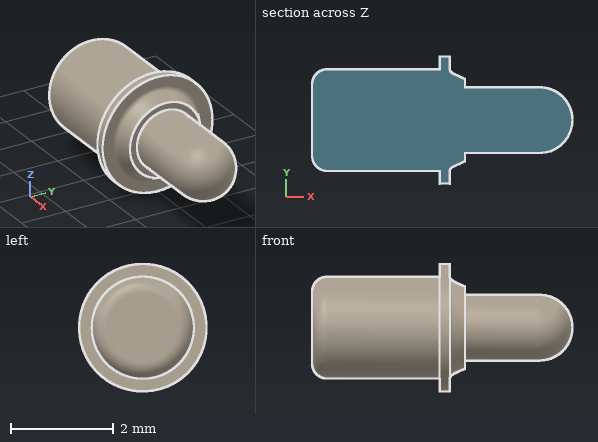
import cadquery as cq
import math

total_length = 5.1
barrel_radius = 1.0
barrel_length = 2.5
barrel_edge_radius = 0.3
flange_radius = 1.25
flange_thickness = 0.2
collar_length = 0.3
collar_tip_radius = 0.805
collar_taper = math.radians(25)
collar_fillet_radius = 0.1
plunger_radius = 0.65

flange_end = barrel_length + flange_thickness
collar_end = flange_end + collar_length
dome_start = total_length - plunger_radius
dome_mid = plunger_radius * math.sqrt(0.5)
edge_inset = barrel_edge_radius * (1 - math.sqrt(0.5))

fillet_center_x = flange_end + collar_fillet_radius
fillet_end_x = fillet_center_x - collar_fillet_radius * math.sin(collar_taper)
fillet_end_radius = collar_tip_radius + (collar_end - fillet_end_x) * math.tan(collar_taper)
fillet_center_radius = fillet_end_radius + collar_fillet_radius * math.cos(collar_taper)
fillet_mid_angle = (math.pi / 2 - collar_taper) / 2
fillet_mid = (
    fillet_center_x - collar_fillet_radius * math.cos(fillet_mid_angle),
    fillet_center_radius - collar_fillet_radius * math.sin(fillet_mid_angle),
)

profile = (
    cq.Workplane("XY")
    .lineTo(0, barrel_radius - barrel_edge_radius)
    .threePointArc(
        (edge_inset, barrel_radius - edge_inset),
        (barrel_edge_radius, barrel_radius),
    )
    .lineTo(barrel_length, barrel_radius)
    .lineTo(barrel_length, flange_radius)
    .lineTo(flange_end, flange_radius)
    .lineTo(flange_end, fillet_center_radius)
    .threePointArc(fillet_mid, (fillet_end_x, fillet_end_radius))
    .lineTo(collar_end, collar_tip_radius)
    .lineTo(collar_end, plunger_radius)
    .lineTo(dome_start, plunger_radius)
    .threePointArc((dome_start + dome_mid, dome_mid), (total_length, 0))
    .close()
)

result = profile.revolve(360, (0, 0, 0), (1, 0, 0))